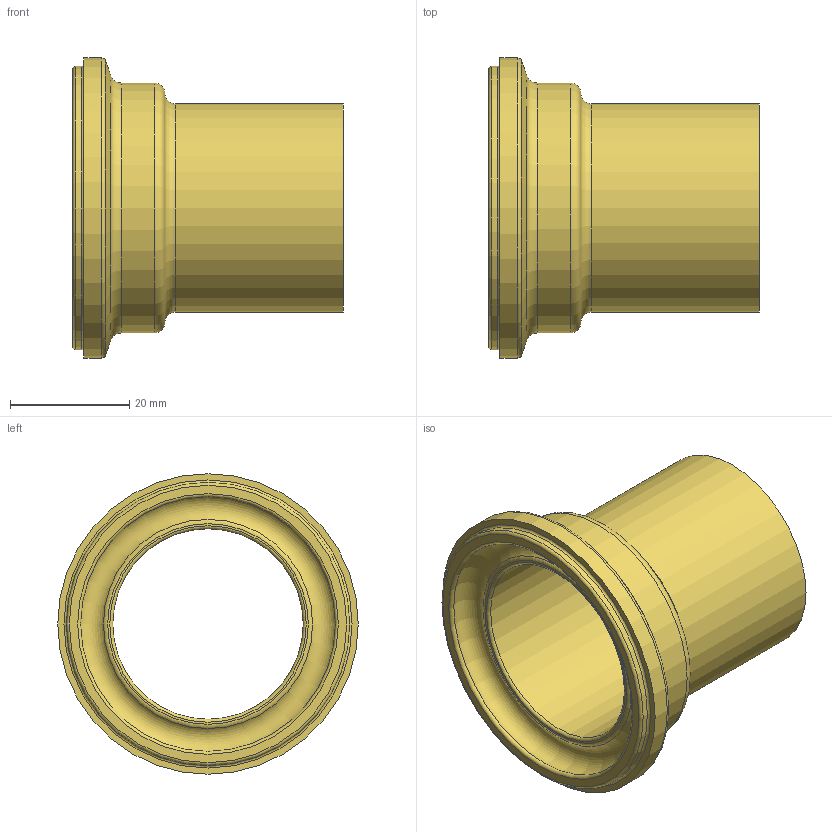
import cadquery as cq
import math


length = 45.5
flange_radius = 50.5 / 2
lip_radius = 47.6 / 2
collar_radius = 42.0 / 2
tube_radius = 35.0 / 2
bore_radius = 32.0 / 2

lip_length = 1.9
lip_round = 0.5
lip_root_round = 0.4

rim_end = 4.8
rim_round = 0.75
back_angle = math.radians(20)
back_root_round = 2.0

collar_end = 13.75
shoulder_round = (collar_radius - tube_radius) / 2

mouth_face_radius = 21.9
mouth_round = 0.5
groove_round = 2.5
groove_center_radius = 19.4
nose_outer_round = 1.0
nose_inner_round = 0.5
nose_face_width = 0.35


def point_between(start, end, distance):
    """Point at a distance from start along the line to end."""
    fraction = distance / math.dist(start, end)
    x = start[0] + fraction * (end[0] - start[0])
    radius = start[1] + fraction * (end[1] - start[1])
    return x, radius


def leg(hypotenuse, other_leg):
    """Remaining leg of a right triangle."""
    return math.sqrt(hypotenuse**2 - other_leg**2)


back_start = (
    rim_end + rim_round * math.cos(back_angle),
    flange_radius - rim_round * (1 - math.sin(back_angle)),
)
back_end_radius = collar_radius + back_root_round * (1 - math.sin(back_angle))
back_end = (
    back_start[0] + (back_start[1] - back_end_radius) * math.tan(back_angle),
    back_end_radius,
)
collar_start = back_end[0] + back_root_round * math.cos(back_angle)

shoulder_middle = collar_end + shoulder_round
tube_start = shoulder_middle + shoulder_round

nose_inner_radius = bore_radius + nose_inner_round
nose_outer_radius = nose_inner_radius + nose_face_width
mouth_center = (mouth_round, mouth_face_radius)
groove_center = (
    mouth_round + leg(groove_round + mouth_round, mouth_face_radius - groove_center_radius),
    groove_center_radius,
)
nose_center = (
    groove_center[0] + leg(groove_round + nose_outer_round, groove_center_radius - nose_outer_radius),
    nose_outer_radius,
)
nose_face = nose_center[0] - nose_outer_round
groove_bottom = (groove_center[0] + groove_round, groove_center_radius)
groove_outer_edge = point_between(groove_center, mouth_center, groove_round)
groove_inner_edge = point_between(groove_center, nose_center, groove_round)


def half_section():
    """Closed outline of the wall in (X, radius) coordinates."""
    outline = cq.Workplane("XY").moveTo(0, mouth_face_radius)

    outline = (
        outline.lineTo(0, lip_radius - lip_round)
        .radiusArc((lip_round, lip_radius), lip_round)
        .lineTo(lip_length - lip_root_round, lip_radius)
        .radiusArc((lip_length, lip_radius + lip_root_round), -lip_root_round)
    )

    outline = (
        outline.lineTo(lip_length, flange_radius)
        .lineTo(rim_end, flange_radius)
        .radiusArc(back_start, rim_round)
        .lineTo(*back_end)
        .radiusArc((collar_start, collar_radius), -back_root_round)
    )

    outline = (
        outline.lineTo(collar_end, collar_radius)
        .radiusArc((shoulder_middle, collar_radius - shoulder_round), shoulder_round)
        .radiusArc((tube_start, tube_radius), -shoulder_round)
        .lineTo(length, tube_radius)
    )

    outline = (
        outline.lineTo(length, bore_radius)
        .lineTo(nose_face + nose_inner_round, bore_radius)
        .radiusArc((nose_face, nose_inner_radius), nose_inner_round)
        .lineTo(nose_face, nose_outer_radius)
        .radiusArc(groove_inner_edge, nose_outer_round)
    )

    return (
        outline.threePointArc(groove_bottom, groove_outer_edge)
        .radiusArc((0, mouth_face_radius), mouth_round)
        .close()
    )


result = half_section().revolve(360, (0, 0, 0), (1, 0, 0))